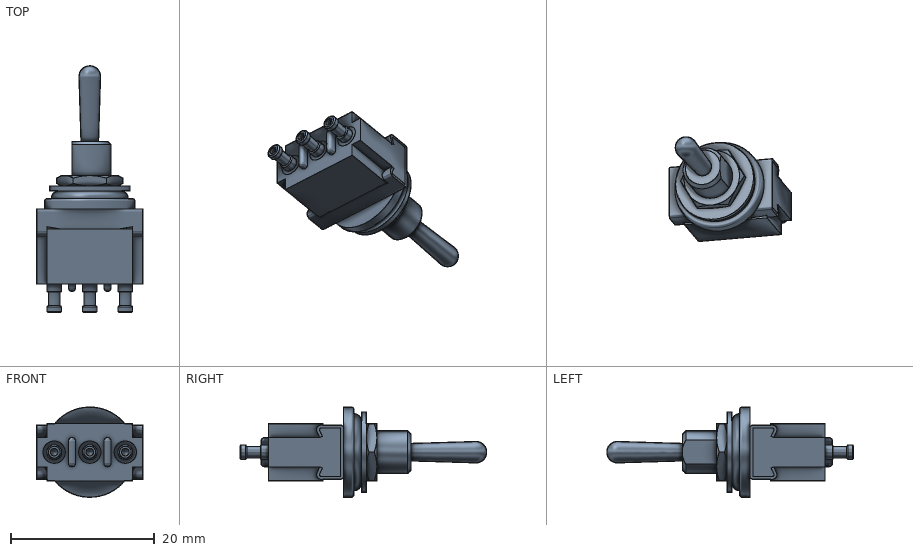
import cadquery as cq
import math


WIDTH = 14.8
HOUSING_BOTTOM = -10.45
SLAB_WIDTH = 11.9
SLAB_HEIGHT = 7.98
SLAB_TOP = -2.82
SIDE_HEIGHT = 4.05

FRAME_HEIGHT = 7.57
SHEET = 0.4
TOP_EDGE_RADIUS = SHEET
BEND_START = -3.1
BEND_INNER_RADIUS = 0.25
HOOK_TILT = 24.0
HOOK_LENGTH = 0.9
HOOK_CORNER_RADIUS = 0.7
RELIEF_DEPTH = 0.35
RELIEF_LENGTH = 2.05

BUSHING_RADIUS = 3.0
BUSHING_TOP = 9.43
BUSHING_CHAMFER = 0.48
BUSHING_FLAT = 2.48
FLANGE_RADIUS = 6.3
FLANGE_THICKNESS = 1.45
FLANGE_ROUND = 0.38
DOME_RADIUS = 5.35
DOME_ROUND = 1.05

WASHER_RADIUS = 5.6
WASHER_THICKNESS = 0.7
NUT_ACROSS_FLATS = 7.98
NUT_THICKNESS = 1.45
NUT_SIDES = 6
NUT_CHAMFER_ANGLE = 30.0

LEVER_NECK_RADIUS = 1.25
LEVER_BALL_RADIUS = 1.5
LEVER_TIP = 19.95
LEVER_END = FLANGE_THICKNESS

PITCH = 4.95
EMBEDDED_RADIUS = 1.55
EMBEDDED_DEPTH = 1.03
TERMINAL_LENGTH = 4.0
TERMINAL_RADIUS = 1.03
STEM_RADIUS = 0.83
COLLAR_LENGTH = 1.03
COLLAR_TAPER = 0.1
HEAD_LENGTH = 1.0
HEAD_TAPER = 0.2
TIP_CHAMFER = 0.17
TERMINAL_HOLE_RADIUS = 0.5
TERMINAL_HOLE_DEPTH = 1.03
DRILL_POINT_ANGLE = 118.0

RIB_RADIUS = 0.5
RIB_LENGTH = 4.05
RIB_HEIGHT = 1.03

DOME_TOP = FLANGE_THICKNESS + DOME_ROUND
WASHER_TOP = DOME_TOP + WASHER_THICKNESS
BEND_OUTER_RADIUS = BEND_INNER_RADIUS + SHEET
BEND_Z = FRAME_HEIGHT / 2 - BEND_OUTER_RADIUS
TILT = math.radians(HOOK_TILT)
COS_45 = math.sqrt(0.5)
TERMINAL_PLACES = [-PITCH, 0, PITCH]
RIB_PLACES = [-PITCH / 2, PITCH / 2]


def turned(outline):
    """Revolve an outline in the XY plane about the Y axis."""
    return outline.close().revolve(360, (0, 0, 0), (0, 1, 0))


def cylinder(radius, bottom, top):
    """Cylinder on the Y axis between two heights."""
    return cq.Workplane("XZ", origin=(0, bottom, 0)).circle(radius).extrude(bottom - top)


def block(width, bottom, top, height):
    """Box centred on the Y axis between two heights."""
    return cq.Workplane("XY").box(width, top - bottom, height).translate((0, (top + bottom) / 2, 0))


def along_width(outline):
    """Extrude a closed YZ outline over the full width."""
    return outline.close().extrude(WIDTH / 2, both=True)


def both_sides(shape, plane):
    """Join a shape with its mirror image."""
    return shape.union(shape.mirror(plane))


def bend_point(radius, angle):
    """Point of the bend, with the angle measured from -Y towards -Z."""
    return BEND_START - radius * math.cos(angle), BEND_Z - radius * math.sin(angle)


def hook_tip(radius):
    """End of the straight part of the hook, on its inner or outer side."""
    y, z = bend_point(radius, TILT)
    return y + HOOK_LENGTH * math.sin(TILT), z - HOOK_LENGTH * math.cos(TILT)


BEND_MIDDLE = (TILT - math.pi / 2) / 2
INNER_TIP = hook_tip(BEND_INNER_RADIUS)
OUTER_TIP = hook_tip(BEND_OUTER_RADIUS)
INNER_Z = FRAME_HEIGHT / 2 - SHEET


def frame_body():
    half_section = along_width(
        cq.Workplane("YZ")
        .moveTo(0, 0)
        .lineTo(0, FRAME_HEIGHT / 2)
        .lineTo(BEND_START, FRAME_HEIGHT / 2)
        .threePointArc(bend_point(BEND_OUTER_RADIUS, BEND_MIDDLE), bend_point(BEND_OUTER_RADIUS, TILT))
        .lineTo(*OUTER_TIP)
        .lineTo(*INNER_TIP)
        .lineTo(*bend_point(BEND_INNER_RADIUS, TILT))
        .threePointArc(bend_point(BEND_INNER_RADIUS, BEND_MIDDLE), (BEND_START, INNER_Z))
        .lineTo(-SHEET, INNER_Z)
        .lineTo(-SHEET, 0)
    )
    frame = both_sides(half_section, "XY")
    frame = frame.edges("|X and >Y").fillet(TOP_EDGE_RADIUS)
    half_slab = SLAB_WIDTH / 2
    between_tabs = (
        cq.Workplane("XY")
        .moveTo(-half_slab, HOUSING_BOTTOM)
        .lineTo(-half_slab, SLAB_TOP + RELIEF_DEPTH)
        .lineTo(-half_slab + RELIEF_LENGTH, SLAB_TOP)
        .lineTo(half_slab - RELIEF_LENGTH, SLAB_TOP)
        .lineTo(half_slab, SLAB_TOP + RELIEF_DEPTH)
        .lineTo(half_slab, HOUSING_BOTTOM)
        .close()
        .extrude(FRAME_HEIGHT, both=True)
    )
    frame = frame.cut(between_tabs)
    return round_hook_corners(frame)


def round_hook_corners(frame):
    """Round the corner of each hook tip that lies against the slab."""
    middle_y = (INNER_TIP[0] + OUTER_TIP[0]) / 2
    middle_z = (INNER_TIP[1] + OUTER_TIP[1]) / 2
    for side in (-1, 1):
        for level in (-1, 1):
            corner = (side * SLAB_WIDTH / 2, middle_y, level * middle_z)
            frame = frame.edges(cq.selectors.NearestToPointSelector(corner)).fillet(HOOK_CORNER_RADIUS)
    return frame


def housing_body():
    half_core = along_width(
        cq.Workplane("YZ")
        .moveTo(-SHEET, 0)
        .lineTo(-SHEET, INNER_Z)
        .lineTo(BEND_START, INNER_Z)
        .threePointArc(bend_point(BEND_INNER_RADIUS, BEND_MIDDLE), bend_point(BEND_INNER_RADIUS, TILT))
        .lineTo(*INNER_TIP)
        .lineTo(*OUTER_TIP)
        .lineTo(OUTER_TIP[0], SIDE_HEIGHT / 2)
        .lineTo(HOUSING_BOTTOM, SIDE_HEIGHT / 2)
        .lineTo(HOUSING_BOTTOM, 0)
    )
    housing = both_sides(half_core, "XY")
    housing = housing.union(block(SLAB_WIDTH, HOUSING_BOTTOM, SLAB_TOP, SLAB_HEIGHT))
    for x in RIB_PLACES:
        housing = housing.union(rib().translate((x, HOUSING_BOTTOM, 0)))
    for x in TERMINAL_PLACES:
        seat = cylinder(EMBEDDED_RADIUS, HOUSING_BOTTOM, HOUSING_BOTTOM + EMBEDDED_DEPTH)
        housing = housing.cut(seat.translate((x, 0, 0)))
    return housing


def rib():
    """Upright rib with rounded ends and a rounded crest, standing on Y = 0 towards -Y."""
    crest_axis = RIB_HEIGHT - RIB_RADIUS
    straight = RIB_LENGTH - 2 * RIB_RADIUS
    wall = cq.Workplane("XZ").slot2D(RIB_LENGTH, 2 * RIB_RADIUS, 90).extrude(crest_axis)
    crest = cq.Workplane("XY").circle(RIB_RADIUS).extrude(straight / 2, both=True)
    for end in (-1, 1):
        crest = crest.union(cq.Workplane("XY").sphere(RIB_RADIUS).translate((0, 0, end * straight / 2)))
    return wall.union(crest.translate((0, -crest_axis, 0)))


def bushing_body():
    flange_center_r = FLANGE_RADIUS - FLANGE_ROUND
    flange_center_y = FLANGE_THICKNESS - FLANGE_ROUND
    dome_center_r = DOME_RADIUS - DOME_ROUND
    bushing = turned(
        cq.Workplane("XY")
        .moveTo(0, 0)
        .lineTo(FLANGE_RADIUS, 0)
        .lineTo(FLANGE_RADIUS, flange_center_y)
        .threePointArc(
            (flange_center_r + FLANGE_ROUND * COS_45, flange_center_y + FLANGE_ROUND * COS_45),
            (flange_center_r, FLANGE_THICKNESS),
        )
        .lineTo(DOME_RADIUS, FLANGE_THICKNESS)
        .threePointArc(
            (dome_center_r + DOME_ROUND * COS_45, FLANGE_THICKNESS + DOME_ROUND * COS_45),
            (dome_center_r, DOME_TOP),
        )
        .lineTo(BUSHING_RADIUS, DOME_TOP)
        .lineTo(BUSHING_RADIUS, BUSHING_TOP - BUSHING_CHAMFER)
        .lineTo(BUSHING_RADIUS - BUSHING_CHAMFER, BUSHING_TOP)
        .lineTo(0, BUSHING_TOP)
    )
    beyond_flat = block(BUSHING_RADIUS, DOME_TOP, BUSHING_TOP, 2 * BUSHING_RADIUS)
    bushing = bushing.cut(beyond_flat.translate((-BUSHING_FLAT - BUSHING_RADIUS / 2, 0, 0)))
    return bushing.cut(cylinder(LEVER_NECK_RADIUS, LEVER_END, BUSHING_TOP))


def washer_body():
    return cylinder(WASHER_RADIUS, DOME_TOP, WASHER_TOP).cut(cylinder(BUSHING_RADIUS, DOME_TOP, WASHER_TOP))


def nut_body():
    corner_radius = NUT_ACROSS_FLATS / 2 / math.cos(math.pi / NUT_SIDES)
    corner_drop = (corner_radius - NUT_ACROSS_FLATS / 2) * math.tan(math.radians(NUT_CHAMFER_ANGLE))
    hexagon = cq.Workplane("XZ").polygon(NUT_SIDES, 2 * corner_radius).extrude(-NUT_THICKNESS)
    corner_chamfers = turned(
        cq.Workplane("XY")
        .moveTo(0, 0)
        .lineTo(NUT_ACROSS_FLATS / 2, 0)
        .lineTo(corner_radius, corner_drop)
        .lineTo(corner_radius, NUT_THICKNESS - corner_drop)
        .lineTo(NUT_ACROSS_FLATS / 2, NUT_THICKNESS)
        .lineTo(0, NUT_THICKNESS)
    )
    nut = hexagon.intersect(corner_chamfers).cut(cylinder(BUSHING_RADIUS, 0, NUT_THICKNESS))
    return nut.translate((0, WASHER_TOP, 0))


def lever_body():
    ball_center = LEVER_TIP - LEVER_BALL_RADIUS
    diagonal = LEVER_BALL_RADIUS * COS_45
    return turned(
        cq.Workplane("XY")
        .moveTo(0, LEVER_END)
        .lineTo(LEVER_NECK_RADIUS, LEVER_END)
        .lineTo(LEVER_NECK_RADIUS, BUSHING_TOP)
        .lineTo(LEVER_BALL_RADIUS, ball_center)
        .threePointArc((diagonal, ball_center + diagonal), (0, LEVER_TIP))
    )


def terminal_body(x):
    head_start = HEAD_LENGTH - TERMINAL_LENGTH
    drill_point = TERMINAL_HOLE_RADIUS / math.tan(math.radians(DRILL_POINT_ANGLE / 2))
    post = turned(
        cq.Workplane("XY")
        .moveTo(0, EMBEDDED_DEPTH)
        .lineTo(EMBEDDED_RADIUS, EMBEDDED_DEPTH)
        .lineTo(EMBEDDED_RADIUS, 0)
        .lineTo(TERMINAL_RADIUS, 0)
        .lineTo(TERMINAL_RADIUS, -COLLAR_LENGTH)
        .lineTo(STEM_RADIUS, -COLLAR_LENGTH - COLLAR_TAPER)
        .lineTo(STEM_RADIUS, head_start)
        .lineTo(TERMINAL_RADIUS, head_start - HEAD_TAPER)
        .lineTo(TERMINAL_RADIUS, TIP_CHAMFER - TERMINAL_LENGTH)
        .lineTo(STEM_RADIUS, -TERMINAL_LENGTH)
        .lineTo(TERMINAL_HOLE_RADIUS, -TERMINAL_LENGTH)
        .lineTo(TERMINAL_HOLE_RADIUS, TERMINAL_HOLE_DEPTH - TERMINAL_LENGTH)
        .lineTo(0, TERMINAL_HOLE_DEPTH + drill_point - TERMINAL_LENGTH)
    )
    return post.translate((x, HOUSING_BOTTOM, 0))


housing = housing_body()
frame = frame_body()
bushing = bushing_body()
washer = washer_body()
nut = nut_body()
lever = lever_body()
terminals = [terminal_body(x) for x in TERMINAL_PLACES]

result = cq.Compound.makeCompound(
    [body.val() for body in [housing, frame, bushing, washer, nut, lever, *terminals]]
)